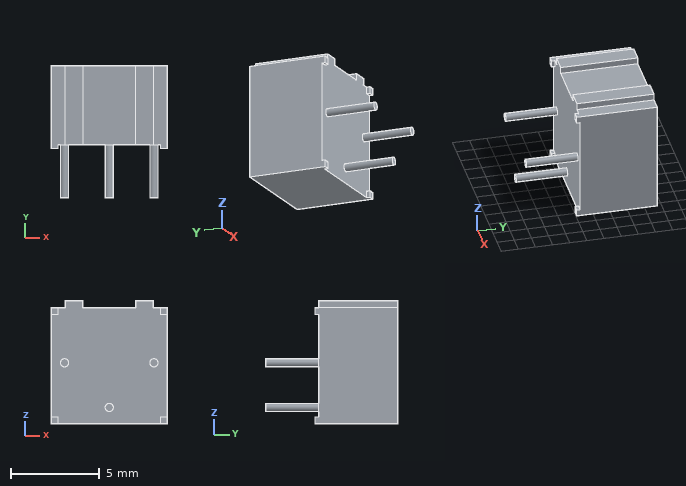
import cadquery as cq

housing_width = 6.6
housing_height = 6.6
housing_depth = 4.5

ridge_width = 1.0
ridge_height = 0.39
ridge_gap = 3.0

foot_size = 0.4
foot_length = 0.2

pin_diameter = 0.465
pin_length = 3.0
pin_pitch = 2.535
lower_pin_height = 0.93
upper_pin_height = lower_pin_height + pin_pitch
pin_places = [
    (-pin_pitch, upper_pin_height),
    (pin_pitch, upper_pin_height),
    (0, lower_pin_height),
]


def make_block(width, depth, height, x_center, y_min, z_min):
    """Rectangular block centred in X and starting at y_min and z_min."""
    return (
        cq.Workplane("XY")
        .box(width, depth, height, centered=(True, False, False))
        .translate((x_center, y_min, z_min))
    )


def make_housing():
    """Block with two top ridges and four corner feet, all one solid."""
    housing = make_block(housing_width, housing_depth, housing_height, 0, 0, 0)
    ridge_x = (ridge_gap + ridge_width) / 2
    foot_x = (housing_width - foot_size) / 2
    for side in (-1, 1):
        ridge = make_block(ridge_width, housing_depth, ridge_height, side * ridge_x, 0, housing_height)
        housing = housing.union(ridge)
        for foot_z in (0, housing_height - foot_size):
            foot = make_block(foot_size, foot_length, foot_size, side * foot_x, -foot_length, foot_z)
            housing = housing.union(foot)
    return housing.clean()


def make_pin(x, z):
    """Round pin that starts on the pin face and points toward -Y."""
    return (
        cq.Workplane("XZ")
        .center(x, z)
        .circle(pin_diameter / 2)
        .extrude(pin_length)
    )


housing = make_housing()
pins = [make_pin(x, z) for x, z in pin_places]

result = cq.Compound.makeCompound([housing.val(), *[pin.val() for pin in pins]])